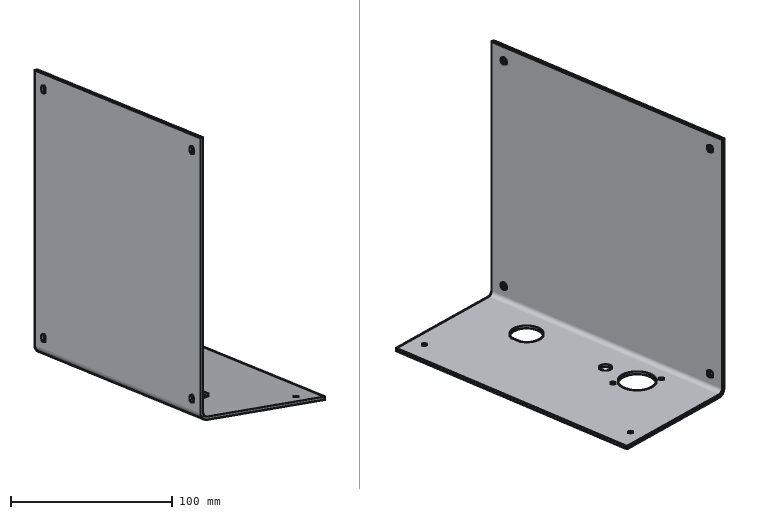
import cadquery as cq

width = 190.0
depth = 92.0
height = 182.0
sheet = 2.0
inner_bend_radius = 3.0
outer_bend_radius = inner_bend_radius + sheet

side_margin = 10.0
panel_hole_diameter = 5.0
panel_top_margin = 10.0
panel_bottom_margin = 12.0
base_hole_diameter = 3.0
base_back_margin = 15.0

row_y = 25.0
socket_x = 50.0
socket_diameter = 24.0
socket_screw_diameter = 3.2
socket_screw_dx = 9.5
socket_screw_dy = 12.0
small_hole_x = 76.0
small_hole_diameter = 8.0
flatted_hole_x = 141.0
flatted_hole_diameter = 21.0
flat_distance = 9.9


def bent_sheet():
    """Upright panel at Y = 0 and base at Z = 0, joined by a rounded bend."""
    block = cq.Workplane("XY").box(width, depth, height, centered=False)
    block = block.edges("|X and <Y and <Z").fillet(outer_bend_radius)
    inside = (
        cq.Workplane("XY")
        .box(width, depth, height, centered=False)
        .translate((0, sheet, sheet))
        .edges("|X and <Y and <Z")
        .fillet(inner_bend_radius)
    )
    return block.cut(inside)


def base_holes(points, diameter):
    """Cutters through the base, at (x, y) points."""
    return cq.Workplane("XY").pushPoints(points).circle(diameter / 2).extrude(sheet)


def panel_holes(points, diameter):
    """Cutters through the upright panel, at (x, z) points."""
    return cq.Workplane("XZ").pushPoints(points).circle(diameter / 2).extrude(-sheet)


def flatted_hole():
    """Round cutter through the base with a flat across its +Y side."""
    hole = base_holes([(flatted_hole_x, row_y)], flatted_hole_diameter)
    keep = (
        cq.Workplane("XY")
        .center(flatted_hole_x, row_y + flat_distance - flatted_hole_diameter / 2)
        .rect(flatted_hole_diameter, flatted_hole_diameter)
        .extrude(sheet)
    )
    return hole.intersect(keep)


hole_columns = (side_margin, width - side_margin)
panel_rows = (panel_bottom_margin, height - panel_top_margin)
panel_points = [(x, z) for x in hole_columns for z in panel_rows]
base_points = [(x, depth - base_back_margin) for x in hole_columns]
socket_screw_points = [
    (socket_x + side * socket_screw_dx, row_y + side * socket_screw_dy) for side in (-1, 1)
]

result = (
    bent_sheet()
    .cut(panel_holes(panel_points, panel_hole_diameter))
    .cut(base_holes(base_points, base_hole_diameter))
    .cut(base_holes([(socket_x, row_y)], socket_diameter))
    .cut(base_holes(socket_screw_points, socket_screw_diameter))
    .cut(base_holes([(small_hole_x, row_y)], small_hole_diameter))
    .cut(flatted_hole())
)